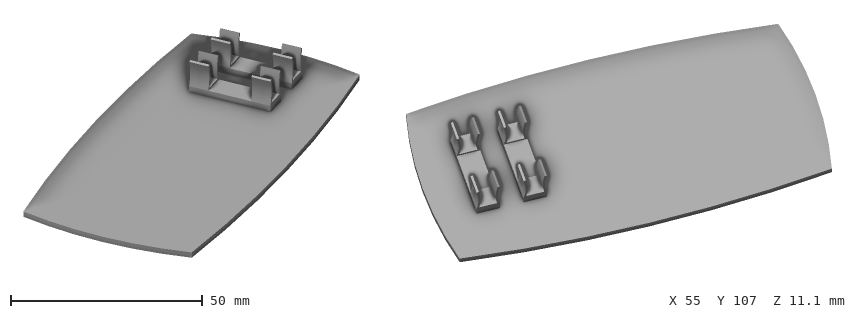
import cadquery as cq

PLATE_LENGTH = 107.0
PLATE_WIDTH = 55.0
PLATE_THICKNESS = 1.6
CORNER_X = 24.4
CORNER_Y = 50.7
SIDE_APEX_Y = 2.6

BASE_LENGTH = 23.5
BASE_WIDTH = 6.4
BASE_HEIGHT = 1.9
BASE_PITCH = 12.8
FRONT_BASE_Y = 26.3

TOTAL_HEIGHT = 11.1
CLIP_LENGTH = 5.6
CLIP_THICKNESS = 0.59
BOW_INSET = 0.59
BOW_MID_Z = 3.5
TIP_INSET = 0.05
TIP_DROP = 0.27

BASE_TOP = PLATE_THICKNESS + BASE_HEIGHT
CLIP_HEIGHT = TOTAL_HEIGHT - BASE_TOP
CLIP_X = (BASE_LENGTH - CLIP_LENGTH) / 2


def make_plate():
    """Flat plate bounded by four outward-bowed arcs."""
    half_length = PLATE_LENGTH / 2
    half_width = PLATE_WIDTH / 2
    return (
        cq.Workplane("XY")
        .moveTo(-CORNER_X, -CORNER_Y)
        .threePointArc((0, -half_length), (CORNER_X, -CORNER_Y))
        .threePointArc((half_width, SIDE_APEX_Y), (CORNER_X, CORNER_Y))
        .threePointArc((0, half_length), (-CORNER_X, CORNER_Y))
        .threePointArc((-half_width, SIDE_APEX_Y), (-CORNER_X, -CORNER_Y))
        .close()
        .extrude(PLATE_THICKNESS)
    )


def make_base(y):
    """Rectangular block standing on the plate."""
    return (
        cq.Workplane("XY", origin=(0, y, PLATE_THICKNESS))
        .rect(BASE_LENGTH, BASE_WIDTH)
        .extrude(BASE_HEIGHT)
    )


def make_leg():
    """Rear spring leg: a thin strip bowed inward, with a sloped end face."""
    outer_y = BASE_WIDTH / 2
    inner_y = outer_y - CLIP_THICKNESS
    return (
        cq.Workplane("YZ")
        .moveTo(outer_y, 0)
        .threePointArc(
            (outer_y - BOW_INSET, BOW_MID_Z),
            (outer_y - TIP_INSET, CLIP_HEIGHT - TIP_DROP),
        )
        .lineTo(inner_y - TIP_INSET, CLIP_HEIGHT)
        .threePointArc((inner_y - BOW_INSET, BOW_MID_Z), (inner_y, 0))
        .close()
        .extrude(CLIP_LENGTH / 2, both=True)
    )


def make_clip(x, y):
    """U-shaped spring clip: a flat floor with two mirrored legs."""
    floor_width = BASE_WIDTH - CLIP_THICKNESS
    floor = cq.Workplane("XY").rect(CLIP_LENGTH, floor_width).extrude(CLIP_THICKNESS)
    leg = make_leg()
    return floor.union(leg).union(leg.mirror("XZ")).translate((x, y, BASE_TOP))


plate = make_plate()

bases = []
clips = []
for base_y in (FRONT_BASE_Y, FRONT_BASE_Y + BASE_PITCH):
    bases.append(make_base(base_y).val())
    for clip_x in (-CLIP_X, CLIP_X):
        clips.append(make_clip(clip_x, base_y).val())

result = cq.Compound.makeCompound([plate.val(), *bases, *clips])